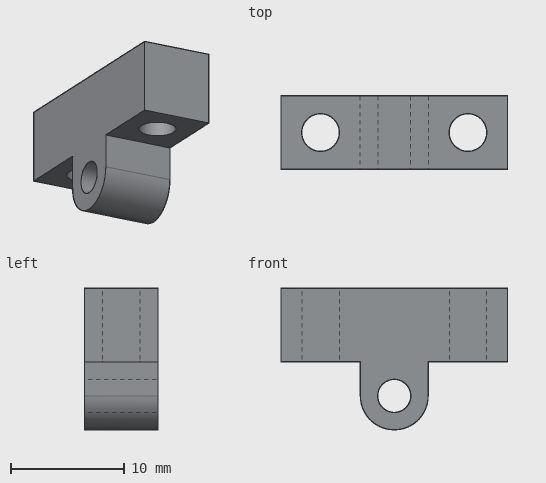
import cadquery as cq

block_length = 20.0
block_depth = 6.5
block_height = 6.5

mount_hole_diameter = 3.3
mount_hole_spacing = 13.0

lug_width = 6.0
lug_radius = lug_width / 2
lug_axis_drop = 3.0
cross_hole_diameter = 2.9


def make_block():
    """Block with its underside on Z = 0, centred in X and Y."""
    return cq.Workplane("XY").box(
        block_length, block_depth, block_height, centered=(True, True, False)
    )


def make_lug():
    """Full-depth lug hanging from the underside, with a half-round lower end."""
    return (
        cq.Workplane("XZ")
        .moveTo(-lug_radius, 0)
        .lineTo(-lug_radius, -lug_axis_drop)
        .threePointArc((0, -lug_axis_drop - lug_radius), (lug_radius, -lug_axis_drop))
        .lineTo(lug_radius, 0)
        .close()
        .extrude(block_depth / 2, both=True)
    )


def make_mount_holes():
    """Two vertical cylinders, as tall as the block, either side of the lug."""
    half_spacing = mount_hole_spacing / 2
    return (
        cq.Workplane("XY")
        .pushPoints([(-half_spacing, 0), (half_spacing, 0)])
        .circle(mount_hole_diameter / 2)
        .extrude(block_height)
    )


def make_cross_hole():
    """Cylinder along Y, concentric with the lug's rounded end."""
    return (
        cq.Workplane("XZ")
        .center(0, -lug_axis_drop)
        .circle(cross_hole_diameter / 2)
        .extrude(block_depth / 2, both=True)
    )


body = make_block().union(make_lug())
result = body.cut(make_mount_holes()).cut(make_cross_hole())